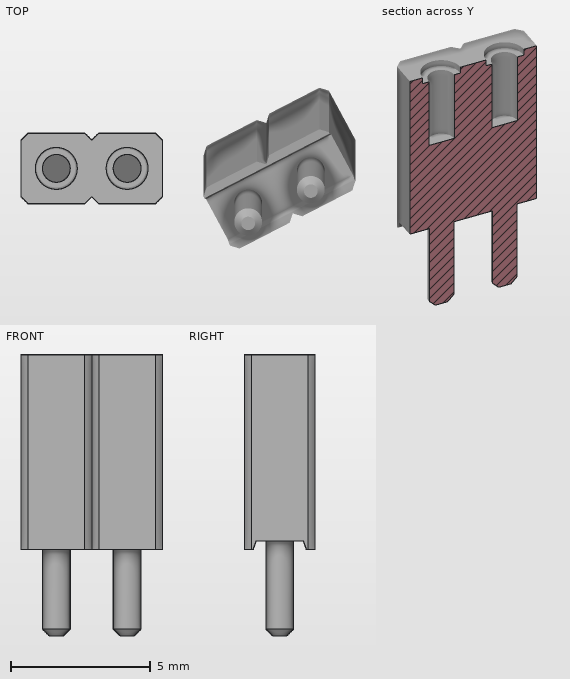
import cadquery as cq

body_length = 5.08
contact_count = 2
total_height = 10.1
body_height = 7.0
corner = 0.25

channel_depth = 0.31
channel_mouth_width = 1.91
channel_roof_width = 1.69

pin_diameter = 1.0
pin_tip_chamfer = 0.25
socket_diameter = 1.0
socket_depth = 3.03
recess_diameter = 1.5
recess_depth = 0.25

pitch = body_length / contact_count
body_bottom = total_height - body_height
contact_points = [((i - (contact_count - 1) / 2) * pitch, 0) for i in range(contact_count)]


def make_cell(x, y):
    """One square housing cell with its four vertical edges chamfered."""
    return (
        cq.Workplane("XY", origin=(x, y, body_bottom))
        .box(pitch, pitch, body_height, centered=(True, True, False))
        .edges("|Z")
        .chamfer(corner)
    )


def make_channel():
    """Tapered channel running the full length of the underside."""
    roof = body_bottom + channel_depth
    return (
        cq.Workplane("YZ")
        .polyline([
            (-channel_mouth_width / 2, body_bottom),
            (channel_mouth_width / 2, body_bottom),
            (channel_roof_width / 2, roof),
            (-channel_roof_width / 2, roof),
        ])
        .close()
        .extrude(body_length / 2, both=True)
    )


def make_pins():
    """Solder pins from the channel roof down to their chamfered tips."""
    return (
        cq.Workplane("XY")
        .pushPoints(contact_points)
        .circle(pin_diameter / 2)
        .extrude(body_bottom + channel_depth)
        .faces("<Z")
        .chamfer(pin_tip_chamfer)
    )


def make_top_bores(diameter, depth):
    """Round bores sunk from the top face, one above each pin."""
    return (
        cq.Workplane("XY", origin=(0, 0, total_height - depth))
        .pushPoints(contact_points)
        .circle(diameter / 2)
        .extrude(depth)
    )


housing = make_cell(*contact_points[0])
for point in contact_points[1:]:
    housing = housing.union(make_cell(*point))

result = (
    housing.cut(make_channel())
    .union(make_pins())
    .cut(make_top_bores(socket_diameter, socket_depth))
    .cut(make_top_bores(recess_diameter, recess_depth))
)